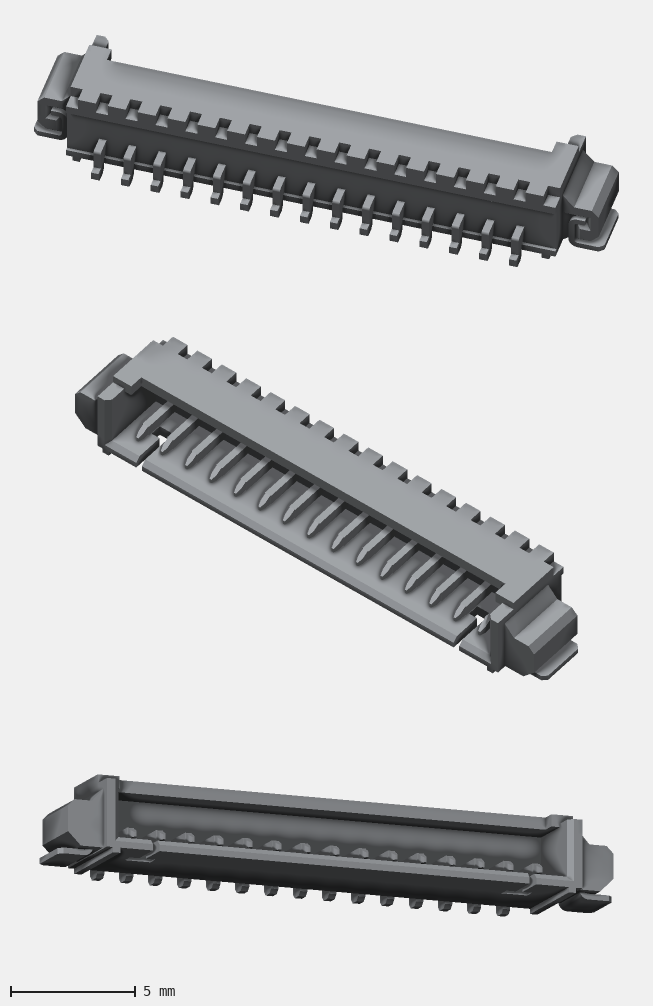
import cadquery as cq


contact_count = 15
contact_width = 0.3

notch_count = contact_count + 2
notch_width = 0.5
notch_height = 0.5
notch_depth = 0.65

housing_length = 20.5
housing_depth = 4.23
housing_top = 3.4
housing_bottom = 0.22
half_length = housing_length / 2

pitch = (housing_length - notch_width) / (notch_count - 1)

recess_depth = 0.15
recess_bottom = 0.5
recess_top = 2.53

end_wall = 0.57
cavity_half_length = half_length - end_wall
floor_top = 0.7
roof_bottom = 2.9
cavity_front = 1.2
mouth_chamfer = 0.22

roof_back = 2.58
roof_end_back = 3.23
roof_end_length = 0.93
side_wall_top = 3.04

slot_center_x = (contact_count / 2 - 1) * pitch
slot_width = 0.29
slot_head_width = 1.1
slot_head_back = 2.72
slot_head_front = 2.2

rail_width = 0.3
rail_inset = 0.26

lead_top = 1.36
lead_bottom = 0.88
lead_outer_y = -0.65
lead_inner_y = -0.22
lead_tip_y = -0.98
lead_bend_radius = 0.22
lead_corner_radius = 0.12
lead_foot_height = 0.5
lead_foot_chamfer = 0.17

pin_shoulder_y = 3.0
pin_neck_y = 3.32
pin_tip_y = 3.55
pin_neck_width = 0.25
pin_tip_width = 0.1
pin_tip_height = 0.2

wing_front = 1.0
wing_back = 3.8
wing_bottom = 0.26
wing_top = 2.15
wing_root_top = 2.68
wing_shoulder_x = 10.73
wing_outer_x = 11.75
wing_chamfer_top = 0.29
wing_side_bottom = 0.81
wing_chamfer_bottom = wing_side_bottom - wing_bottom

pocket_chamfer = 0.25

tab_thickness = 0.25
tab_web_x = half_length + pocket_chamfer
tab_hook_x = 11.19
tab_foot_x = 11.95
tab_top = 1.5
tab_back = 3.32
tab_bend_radius = 0.38
tab_inner_radius = tab_bend_radius - tab_thickness
tab_corner_chamfer = 0.2


def box(x_limits, y_limits, z_limits):
    """Axis-aligned block between the given limits."""
    size = [high - low for low, high in (x_limits, y_limits, z_limits)]
    corner = (x_limits[0], y_limits[0], z_limits[0])
    return cq.Workplane("XY").box(*size, centered=False).translate(corner)


def around(center, width):
    """Limits of a width centred on a position."""
    return (center - width / 2, center + width / 2)


def row_positions(count):
    """X positions of a centred row on the contact pitch."""
    return [(i - (count - 1) / 2) * pitch for i in range(count)]


def both_ends(right_end):
    """The solid at the right-hand end together with its mirror image."""
    return right_end.union(right_end.mirror("YZ"))


def make_roof_cutout():
    """Space behind the back edge of the roof and above the end walls."""
    full_x = (-half_length, half_length)
    above_walls = box(full_x, (roof_end_back, housing_depth), (side_wall_top, housing_top))
    middle_half = half_length - roof_end_length
    middle = box((-middle_half, middle_half), (roof_back, housing_depth), (roof_bottom, housing_top))
    return above_walls.union(middle)


def make_cavity():
    """Space around the contacts, flared at its mouth along the floor and end walls."""
    inside_x = (-cavity_half_length, cavity_half_length)
    cavity = box(inside_x, (cavity_front, housing_depth), (floor_top, roof_bottom))
    open_back = box(inside_x, (roof_end_back, housing_depth), (floor_top, housing_top))
    mouth = (
        cq.Workplane("XZ", origin=(0, housing_depth, (floor_top + housing_top) / 2))
        .rect(
            2 * (cavity_half_length + mouth_chamfer),
            housing_top - floor_top + 2 * mouth_chamfer,
        )
        .extrude(mouth_chamfer, taper=45)
    )
    return cavity.union(open_back).union(mouth)


def make_floor_slot():
    """T-shaped opening through the floor at the right-hand end."""
    through = (0, floor_top)
    stem = box(around(slot_center_x, slot_width), (slot_head_front, housing_depth), through)
    head = box(around(slot_center_x, slot_head_width), (slot_head_front, slot_head_back), through)
    return stem.union(head)


def make_rail():
    """Standoff rail under the right-hand end of the housing."""
    outer_x = half_length - rail_inset
    return box((outer_x - rail_width, outer_x), (0, housing_depth), (0, housing_bottom))


def make_housing():
    """Moulded body with its notches, cavity, floor slots and rails."""
    full_x = (-half_length, half_length)
    body = box(full_x, (0, housing_depth), (housing_bottom, housing_top))
    body = body.cut(box(full_x, (0, recess_depth), (recess_bottom, recess_top)))
    notch_z = (housing_top - notch_height, housing_top)
    for x in row_positions(notch_count):
        body = body.cut(box(around(x, notch_width), (0, notch_depth), notch_z))
    body = body.cut(make_roof_cutout()).cut(make_cavity())
    body = body.cut(both_ends(make_floor_slot()))
    return body.union(both_ends(make_rail()))


def make_lead_and_pin():
    """Gull-wing lead and the straight pin behind it, up to the pin shoulder."""
    lead = (
        cq.Workplane("YZ")
        .moveTo(pin_shoulder_y, lead_bottom)
        .lineTo(pin_shoulder_y, lead_top)
        .lineTo(lead_outer_y, lead_top)
        .lineTo(lead_outer_y, lead_foot_height)
        .lineTo(lead_tip_y, lead_foot_height)
        .lineTo(lead_tip_y, 0)
        .lineTo(lead_inner_y, 0)
        .lineTo(lead_inner_y, lead_bottom - lead_bend_radius)
        .radiusArc((lead_inner_y + lead_bend_radius, lead_bottom), -lead_bend_radius)
        .close()
        .extrude(contact_width / 2, both=True)
    )
    top_corner = cq.selectors.NearestToPointSelector((0, lead_outer_y, lead_top))
    lead = lead.edges(top_corner).fillet(lead_corner_radius)
    return lead.edges("|X and <Z").chamfer(lead_foot_chamfer)


def make_pin_tip():
    """Narrow end of a pin, sloping down to a blunt point."""
    plan = (
        cq.Workplane("XY")
        .polyline(
            [
                (-pin_neck_width / 2, pin_shoulder_y),
                (-pin_neck_width / 2, pin_neck_y),
                (-pin_tip_width / 2, pin_tip_y),
                (pin_tip_width / 2, pin_tip_y),
                (pin_neck_width / 2, pin_neck_y),
                (pin_neck_width / 2, pin_shoulder_y),
            ]
        )
        .close()
        .extrude(lead_top)
    )
    side = (
        cq.Workplane("YZ")
        .polyline(
            [
                (pin_shoulder_y, lead_bottom),
                (pin_tip_y, lead_bottom),
                (pin_tip_y, lead_bottom + pin_tip_height),
                (pin_shoulder_y, lead_top),
            ]
        )
        .close()
        .extrude(contact_width / 2, both=True)
    )
    return plan.intersect(side)


def extrude_along_y(outline, front, back):
    """Prism with an X-Z outline between two Y positions."""
    sketch = cq.Workplane("XZ", origin=(0, front, 0)).polyline(outline).close()
    return sketch.extrude(front - back)


def tab_outline(margin):
    """Bent-strip outline of the right-hand tab, grown by a margin on every side."""
    near_x = tab_web_x - margin
    far_x = tab_web_x + tab_thickness + margin
    hook_x = tab_hook_x + margin
    foot_x = tab_foot_x + margin
    hook_top = tab_top + margin
    hook_bottom = tab_top - tab_thickness - margin
    foot_top = tab_thickness + margin
    return [
        (near_x, hook_top),
        (hook_x, hook_top),
        (hook_x, hook_bottom),
        (far_x, hook_bottom),
        (far_x, foot_top),
        (foot_x, foot_top),
        (foot_x, -margin),
        (near_x, -margin),
    ]


def make_wing():
    """Right-hand wing with a bevelled entry around the solder tab."""
    outline = [
        (half_length, wing_bottom),
        (half_length, wing_root_top),
        (wing_shoulder_x, wing_top),
        (wing_outer_x - wing_chamfer_top, wing_top),
        (wing_outer_x, wing_top - wing_chamfer_top),
        (wing_outer_x, wing_side_bottom),
        (wing_outer_x - wing_chamfer_bottom, wing_bottom),
    ]
    wing = extrude_along_y(outline, wing_front, wing_back)
    entry = (
        cq.Workplane("XZ", origin=(0, wing_front, 0))
        .polyline(tab_outline(pocket_chamfer))
        .close()
        .workplane(offset=-pocket_chamfer)
        .polyline(tab_outline(0))
        .close()
        .loft(ruled=True)
    )
    return wing.cut(entry)


def make_tab():
    """Right-hand solder tab with rounded bends and chamfered foot corners."""
    tab = extrude_along_y(tab_outline(0), wing_front, tab_back)
    far_x = tab_web_x + tab_thickness
    bends = [
        (tab_web_x, tab_top, tab_bend_radius),
        (tab_web_x, 0, tab_bend_radius),
        (far_x, tab_top - tab_thickness, tab_inner_radius),
        (far_x, tab_thickness, tab_inner_radius),
    ]
    middle_y = (wing_front + tab_back) / 2
    for x, z, radius in bends:
        corner = cq.selectors.NearestToPointSelector((x, middle_y, z))
        tab = tab.edges("|Y").edges(corner).fillet(radius)
    return tab.faces(">X").edges("|Z").chamfer(tab_corner_chamfer)


result = make_housing()
contact = make_lead_and_pin().union(make_pin_tip())
for contact_x in row_positions(contact_count):
    result = result.union(contact.translate((contact_x, 0, 0)))
result = result.union(both_ends(make_wing().union(make_tab())))